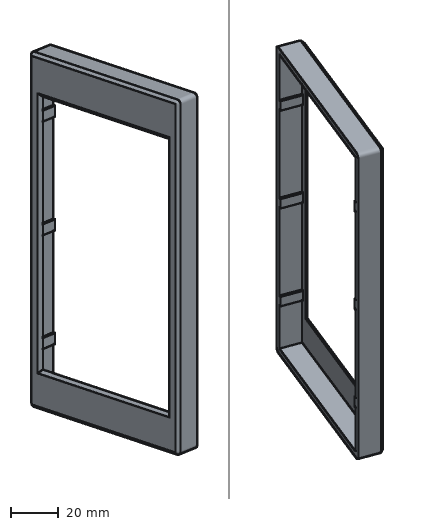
import cadquery as cq

width = 84.0
depth = 12.0
height = 160.0
corner_radius = 2.0
front_chamfer = 1.5

wall = 3.0
plate_thickness = 1.6

side_border = 5.0
top_border = 17.5
bottom_border = 16.5
window_bevel = plate_thickness

tab_projection = 1.0
tab_height = 5.0
tab_pitch = 51.2
tab_count = 3

window_center = (bottom_border - top_border) / 2
cavity_width = width - 2 * wall
cavity_height = height - 2 * wall
cavity_depth = depth - plate_thickness


def make_shell():
    """Rounded, front-chamfered block hollowed out from the back."""
    block = (
        cq.Workplane("XY")
        .box(width, depth, height, centered=(True, False, True))
        .edges("|Y")
        .fillet(corner_radius)
        .faces("<Y")
        .chamfer(front_chamfer)
    )
    cavity = (
        cq.Workplane("XY")
        .box(cavity_width, cavity_depth, cavity_height, centered=(True, False, True))
        .translate((0, plate_thickness, 0))
    )
    return block.cut(cavity)


def make_window():
    """Tapered cutter that opens the front plate."""
    window_width = width - 2 * side_border
    window_height = height - top_border - bottom_border
    return (
        cq.Workplane("XZ", origin=(0, 0, window_center))
        .rect(window_width, window_height)
        .workplane(offset=-plate_thickness)
        .rect(window_width - 2 * window_bevel, window_height - 2 * window_bevel)
        .loft(ruled=True)
    )


def make_tab(side, z_center):
    """Tab on the left (side = -1) or right (side = 1) wall, from plate to back rim."""
    x_center = side * (cavity_width - tab_projection) / 2
    return (
        cq.Workplane("XY")
        .box(tab_projection, cavity_depth, tab_height, centered=(True, False, True))
        .translate((x_center, plate_thickness, z_center))
    )


result = make_shell().cut(make_window())
for side in (-1, 1):
    for index in range(tab_count):
        z_center = window_center + (index - (tab_count - 1) / 2) * tab_pitch
        result = result.union(make_tab(side, z_center))